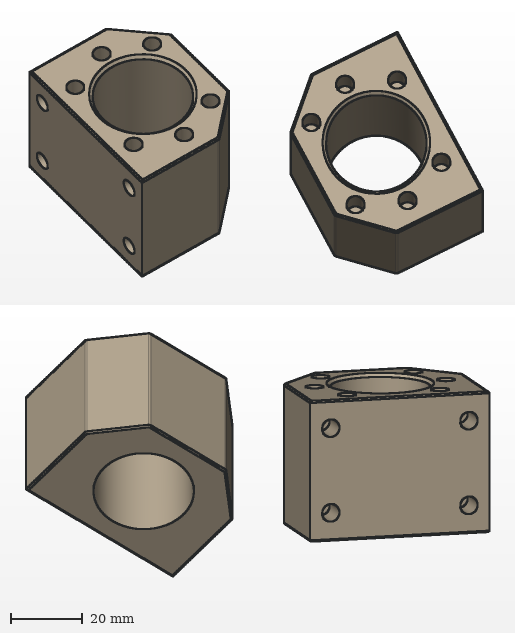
import cadquery as cq
import math

width = 52.0
depth = 40.0
height = 40.0
corner_cut_x = 12.5
corner_cut_y = 13.0
edge_chamfer = 0.5
cut_edge_radius = 1.0

bore_diameter = 28.0
bore_chamfer = 1.0
lead_in_angle = 45

hole_diameter = 5.0
hole_depth = 10.0
bolt_circle_diameter = 38.0
bolt_angles = (-45, 0, 45, 135, 180, 225)
front_hole_spacing_x = 40.0
front_hole_spacing_z = 24.0


def make_block():
    """Block with both rear corners cut off, the cuts rounded at their ends, and chamfered rims."""
    half_width = width / 2
    half_depth = depth / 2
    outline = [
        (-half_width, -half_depth),
        (half_width, -half_depth),
        (half_width, half_depth - corner_cut_y),
        (half_width - corner_cut_x, half_depth),
        (-half_width + corner_cut_x, half_depth),
        (-half_width, half_depth - corner_cut_y),
    ]
    block = cq.Workplane("XY").polyline(outline).close().extrude(height / 2, both=True)
    block = block.edges("|Z and (not <Y)").fillet(cut_edge_radius)
    return block.faces("<Z or >Z").edges().chamfer(edge_chamfer)


def cut_bore(body):
    """Through bore with a lead-in chamfer at the top."""
    bore = cq.Workplane("XY").circle(bore_diameter / 2).extrude(height, both=True)
    lead_in = (
        cq.Workplane("XY", origin=(0, 0, height / 2))
        .circle(bore_diameter / 2 + bore_chamfer)
        .extrude(-bore_chamfer, taper=lead_in_angle)
    )
    return body.cut(bore).cut(lead_in)


def cut_top_holes(body):
    """Six blind holes on the bolt circle around the bore."""
    bolt_radius = bolt_circle_diameter / 2
    centres = []
    for angle in bolt_angles:
        turn = math.radians(angle)
        centres.append((bolt_radius * math.cos(turn), bolt_radius * math.sin(turn)))
    holes = (
        cq.Workplane("XY", origin=(0, 0, height / 2))
        .pushPoints(centres)
        .circle(hole_diameter / 2)
        .extrude(-hole_depth)
    )
    return body.cut(holes)


def cut_front_holes(body):
    """Four blind holes in a rectangle on the -Y face."""
    holes = (
        cq.Workplane("XZ", origin=(0, -depth / 2, 0))
        .rarray(front_hole_spacing_x, front_hole_spacing_z, 2, 2)
        .circle(hole_diameter / 2)
        .extrude(-hole_depth)
    )
    return body.cut(holes)


body = make_block()
body = cut_bore(body)
body = cut_top_holes(body)
body = cut_front_holes(body)
result = body